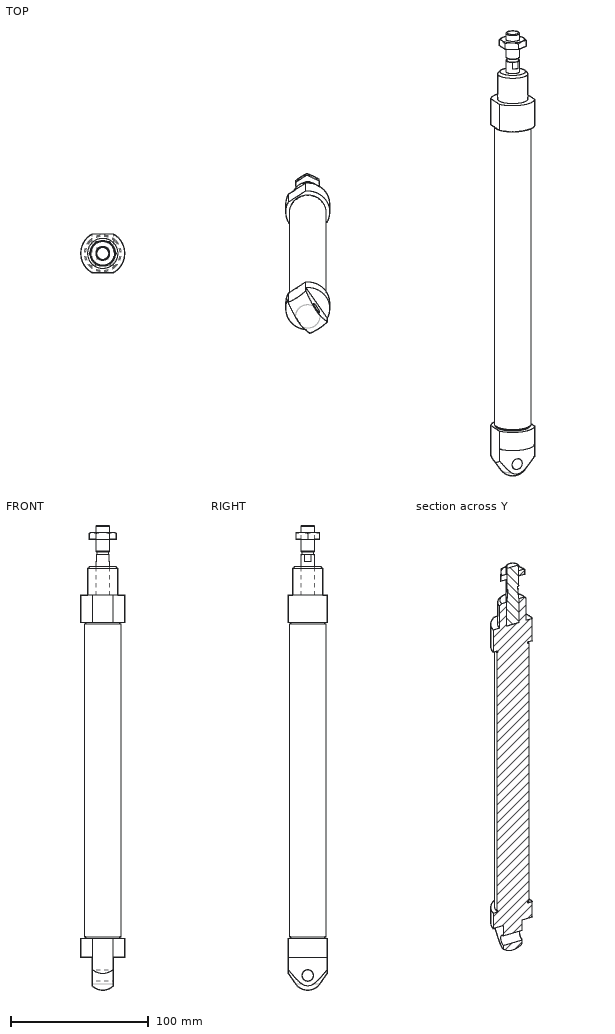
import cadquery as cq
import math

total_height = 337.0
tongue_top = 24.0
end_cap_top = 37.7
head_bottom = 266.5
head_top = 286.5
nose_top = 307.5
wrench_flat_bottom = 310.7
undercut_bottom = 315.8
undercut_height = 2.0
nut_bottom = 327.0
nut_height = 5.0

cap_diameter = 32.0
cap_across_flats = 28.3
tube_diameter = 26.5
groove_diameter = 25.0
groove_height = 1.0
nose_diameter = 22.0
nose_chamfer = 1.7

tongue_thickness = 15.5
eye_hole_diameter = 8.0
tip_radius = 10.8
eye_height = tip_radius
cone_angle = math.radians(55)

rod_diameter = 10.0
undercut_diameter = 8.5
rod_across_flats = 9.0
rod_chamfer = 0.7
nut_across_flats = 17.2
nut_corner_diameter = nut_across_flats / math.cos(math.radians(30))
nut_chamfer_angle = math.radians(30)


def cylinder(diameter, bottom, top):
    return cq.Workplane("XY").workplane(offset=bottom).circle(diameter / 2).extrude(top - bottom)


def flatted_cap(bottom, top):
    """Round cap with flats facing -Y and +Y."""
    height = top - bottom
    flats = (
        cq.Workplane("XY").workplane(offset=bottom)
        .rect(cap_diameter, cap_across_flats).extrude(height)
    )
    return cylinder(cap_diameter, bottom, top).intersect(flats)


def make_tip_envelope():
    """Cap envelope whose lower end is a cone blended into a spherical tip."""
    cap_radius = cap_diameter / 2
    tangent_radius = tip_radius * math.sin(cone_angle)
    tangent_height = tip_radius * (1 - math.cos(cone_angle))
    arc_mid_radius = tip_radius * math.sin(cone_angle / 2)
    arc_mid_height = tip_radius * (1 - math.cos(cone_angle / 2))
    cone_top = tangent_height + (cap_radius - tangent_radius) * math.tan(cone_angle)
    return (
        cq.Workplane("XZ")
        .moveTo(0, 0)
        .threePointArc((arc_mid_radius, arc_mid_height), (tangent_radius, tangent_height))
        .lineTo(cap_radius, cone_top)
        .lineTo(cap_radius, end_cap_top)
        .lineTo(0, end_cap_top)
        .close()
        .revolve(360, (0, 0), (0, 1))
    )


def make_eye():
    """Flat-sided tongue with a rounded tip and a cross hole along X."""
    tongue = (
        cq.Workplane("XY").rect(tongue_thickness, cap_across_flats).extrude(end_cap_top)
        .intersect(make_tip_envelope())
    )
    hole = (
        cq.Workplane("YZ").center(0, eye_height)
        .circle(eye_hole_diameter / 2).extrude(tongue_thickness, both=True)
    )
    return tongue.cut(hole)


def make_housing():
    """Tube with its head, nose, rear cap and mounting eye."""
    lower_groove_top = end_cap_top + groove_height
    upper_groove_bottom = head_bottom - groove_height
    nose = cylinder(nose_diameter, head_top, nose_top).faces(">Z").chamfer(nose_chamfer)
    rod_recess = cylinder(rod_diameter, head_top, nose_top)
    return (
        flatted_cap(tongue_top, end_cap_top)
        .union(make_eye())
        .union(cylinder(groove_diameter, end_cap_top, head_bottom))
        .union(cylinder(tube_diameter, lower_groove_top, upper_groove_bottom))
        .union(flatted_cap(head_bottom, head_top))
        .union(nose)
        .cut(rod_recess)
    )


def make_rod():
    """Piston rod with wrench flats facing X and an undercut below the chamfered thread."""
    undercut_top = undercut_bottom + undercut_height
    flats = (
        cq.Workplane("XY").workplane(offset=wrench_flat_bottom)
        .rect(rod_across_flats, rod_diameter).extrude(undercut_bottom - wrench_flat_bottom)
    )
    flatted_length = cylinder(rod_diameter, wrench_flat_bottom, undercut_bottom).intersect(flats)
    thread = cylinder(rod_diameter, undercut_top, total_height).faces("<Z or >Z").chamfer(rod_chamfer)
    return (
        cylinder(rod_diameter, head_top, wrench_flat_bottom)
        .union(flatted_length)
        .union(cylinder(undercut_diameter, undercut_bottom, undercut_top))
        .union(thread)
    )


def make_nut():
    """Hexagon nut with corners on X and its top corners chamfered."""
    corner_radius = nut_corner_diameter / 2
    flat_radius = nut_across_flats / 2
    chamfer_drop = (corner_radius - flat_radius) * math.tan(nut_chamfer_angle)
    hexagon = (
        cq.Workplane("XY").workplane(offset=nut_bottom)
        .polygon(6, nut_corner_diameter).extrude(nut_height)
    )
    nut_top = nut_bottom + nut_height
    chamfer_envelope = (
        cq.Workplane("XZ")
        .moveTo(0, nut_bottom)
        .lineTo(corner_radius, nut_bottom)
        .lineTo(corner_radius, nut_top - chamfer_drop)
        .lineTo(flat_radius, nut_top)
        .lineTo(0, nut_top)
        .close()
        .revolve(360, (0, 0), (0, 1))
    )
    thread_hole = cylinder(rod_diameter, nut_bottom, nut_top)
    return hexagon.intersect(chamfer_envelope).cut(thread_hole)


housing = make_housing()
rod = make_rod()
nut = make_nut()

result = cq.Compound.makeCompound([housing.val(), rod.val(), nut.val()])